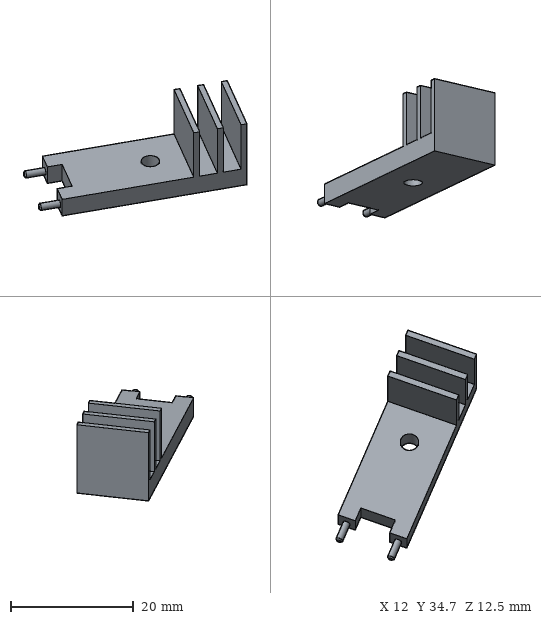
import cadquery as cq

width = 12.0
total_length = 34.7
total_height = 12.5

pin_length = 3.5
base_length = total_length - pin_length
base_thickness = 3.4

fin_count = 3
fin_thickness = 1.0
fin_pitch = 4.0

hole_diameter = 3.0
hole_from_back = 14.65

notch_width = width / 2
notch_depth = 2.5

pin_diameter = 1.2
pin_chamfer = 0.25
pin_height = 1.42
pin_offset = (width + notch_width) / 4


def block(x_size, y_back, y_size, z_bottom, z_size):
    """Box centred on x = 0 that runs from y_back towards -Y."""
    return (
        cq.Workplane("XY")
        .box(x_size, y_size, z_size, centered=(True, False, False))
        .translate((0, y_back - y_size, z_bottom))
    )


def pin(x):
    """Pin standing out of the front face, with a chamfered tip."""
    return (
        cq.Workplane("XZ", origin=(x, -base_length, pin_height))
        .circle(pin_diameter / 2)
        .extrude(pin_length)
        .faces("<Y")
        .chamfer(pin_chamfer)
    )


base = block(width, 0, base_length, 0, base_thickness)
notch = block(notch_width, notch_depth - base_length, notch_depth, 0, base_thickness)
hole = (
    cq.Workplane("XY")
    .center(0, -hole_from_back)
    .circle(hole_diameter / 2)
    .extrude(base_thickness)
)
result = base.cut(notch).cut(hole)

for index in range(fin_count):
    result = result.union(block(width, -index * fin_pitch, fin_thickness, 0, total_height))

for side in (-1, 1):
    result = result.union(pin(side * pin_offset))